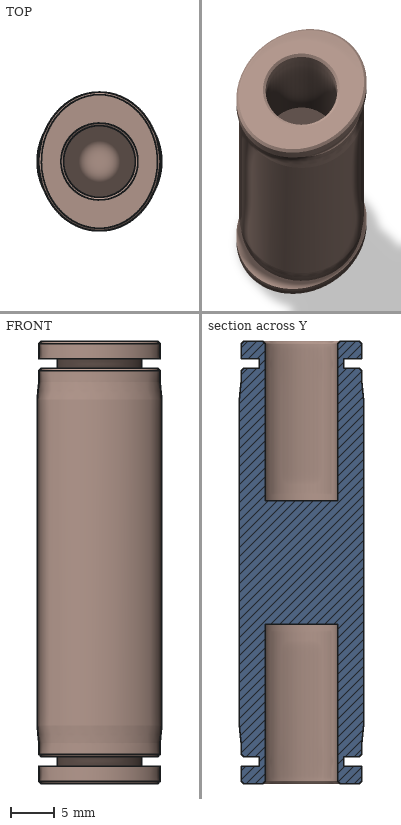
import cadquery as cq

length = 51.0
body_diameter = 14.4

flange_width = 13.95
flange_depth = 16.0
flange_thickness = 2.05
flange_chamfer = 0.3

neck_diameter = 9.8
neck_length = 1.05
collar_diameter = 13.95
collar_length = 1.6
collar_chamfer = 0.3
taper_length = 2.05

socket_diameter = 8.25
socket_depth = 18.35
socket_chamfer = 0.3

half_length = length / 2
flange_bottom = half_length - flange_thickness
collar_top = flange_bottom - neck_length
taper_top = collar_top - collar_length
taper_bottom = taper_top - taper_length


def make_sleeve():
    """Revolved body with its tapers, collars and necks."""
    neck_radius = neck_diameter / 2
    collar_radius = collar_diameter / 2
    body_radius = body_diameter / 2
    upper_outline = [
        (body_radius, taper_bottom),
        (collar_radius, taper_top),
        (collar_radius, collar_top - collar_chamfer),
        (collar_radius - collar_chamfer, collar_top),
        (neck_radius, collar_top),
        (neck_radius, flange_bottom),
        (0, flange_bottom),
    ]
    lower_outline = [(radius, -height) for radius, height in reversed(upper_outline)]
    profile = cq.Workplane("XZ").polyline(lower_outline + upper_outline).close()
    return profile.revolve(360, (0, 0, 0), (0, 1, 0))


def make_flange():
    """Oval plate with a chamfered outer rim."""
    return (
        cq.Workplane("XY", origin=(0, 0, flange_bottom))
        .ellipse(flange_width / 2, flange_depth / 2)
        .extrude(flange_thickness)
        .faces(">Z")
        .edges()
        .chamfer(flange_chamfer)
    )


def make_socket():
    """Cutter for a blind bore with a chamfered mouth."""
    radius = socket_diameter / 2
    profile = (
        cq.Workplane("XZ")
        .moveTo(0, half_length)
        .lineTo(radius + socket_chamfer, half_length)
        .lineTo(radius, half_length - socket_chamfer)
        .lineTo(radius, half_length - socket_depth)
        .lineTo(0, half_length - socket_depth)
        .close()
    )
    return profile.revolve(360, (0, 0, 0), (0, 1, 0))


flange = make_flange()
socket = make_socket()
result = (
    make_sleeve()
    .union(flange)
    .union(flange.mirror("XY"))
    .cut(socket)
    .cut(socket.mirror("XY"))
)